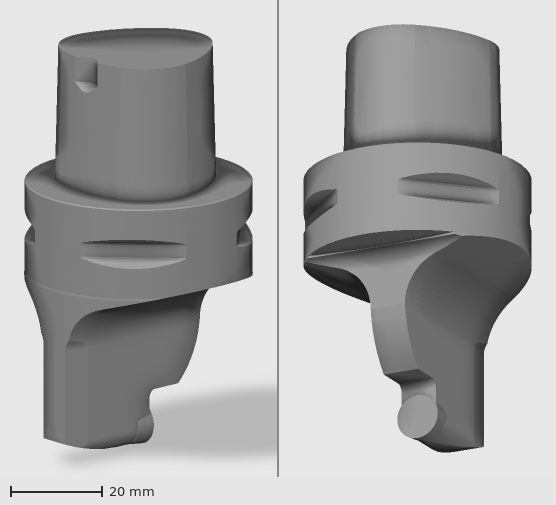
import cadquery as cq
import math


flange_radius = 25.0
flange_rim_height = 20.3
flange_underside_drop = 0.5
flange_flat_radius = 16.7
flange_edge_chamfer = 0.3

shank_height = 30.0
lobe_base_radius = 12.0
lobe_center_distance = 6.75
shank_taper = 1 / 40
flat_half_angle = 20
lobe_directions = (90, 210, 330)

notch_radius = 4.4
notch_axis_y = -17.9
notch_depth = 5.6
notch_tip_height = 3.2

groove_z = -10.2
groove_floor_distance = 22.1
groove_floor_half = 1.4
groove_corner_half = 1.8
groove_corner_depth = 0.2
groove_rim_half = 3.3
groove_directions = (45, 135, 225, 315)

tip_z = -60.0
insert_diameter = 10.0
insert_radius = insert_diameter / 2
insert_back_radius = 4.5
insert_thickness = 4.05
insert_z = tip_z + insert_radius

blade_half_thickness = 4.2
blade_back_radius = 25.1
blade_front_y = 14.2
blade_root_radius = 3.2
blade_curve_top_z = -33.75
blade_step_y = 7.9
blade_step_z = -47.1
blade_front_bulge_y = 12.0
blade_front_bulge_z = -41.5
insert_seat_y = -0.5
seat_corner_radius = 1.6
blade_heel_z = -55.0
blade_round_z = blade_heel_z - 0.3
blade_low_y = -insert_thickness
blade_low_z = -59.5
blade_belly_y = -13.05
blade_belly_z = -58.4

flank_angle = math.radians(16)
flank_radius = 11.1

relief_start_y = -18.7
relief_depth = 0.7
relief_runout_radius = 3.5

clearance = 4.5


def polar_offset(center, distance, angle):
    """Point at a distance from a centre, in a direction given in degrees."""
    a = math.radians(angle)
    return cq.Vector(center.x + distance * math.cos(a), center.y + distance * math.sin(a), center.z)


def lobed_wire(lobe_radius, z):
    """Six tangent arcs: three tight lobes joined by three wide flats."""
    axis = cq.Vector(0, 0, z)
    lobe_half_angle = 60 - flat_half_angle
    center_spacing = lobe_center_distance * math.sin(math.radians(60))
    flat_radius = lobe_radius + center_spacing / math.sin(math.radians(flat_half_angle))
    flat_center_distance = (
        lobe_center_distance * math.cos(math.radians(60))
        - center_spacing / math.tan(math.radians(flat_half_angle))
    )
    arcs = (
        (0, lobe_center_distance, lobe_radius, lobe_half_angle),
        (60, flat_center_distance, flat_radius, flat_half_angle),
    )
    edges = []
    for direction in lobe_directions:
        for turn, center_distance, radius, half_angle in arcs:
            middle = direction + turn
            center = polar_offset(axis, center_distance, middle)
            edges.append(
                cq.Edge.makeThreePointArc(
                    polar_offset(center, radius, middle - half_angle),
                    polar_offset(center, radius, middle),
                    polar_offset(center, radius, middle + half_angle),
                )
            )
    return cq.Wire.assembleEdges(edges)


def make_shank():
    lobe_top_radius = lobe_base_radius - shank_taper * shank_height
    base = lobed_wire(lobe_base_radius, 0)
    top = lobed_wire(lobe_top_radius, shank_height)
    return cq.Workplane(obj=cq.Solid.makeLoft([base, top], True))


def make_notch():
    floor_z = shank_height - notch_depth
    return (
        cq.Workplane("XZ")
        .moveTo(0, floor_z - notch_tip_height)
        .lineTo(notch_radius, floor_z)
        .lineTo(notch_radius, shank_height + clearance)
        .lineTo(0, shank_height + clearance)
        .close()
        .revolve(360, (0, 0), (0, 1))
        .translate((0, notch_axis_y, 0))
    )


def make_flange():
    return (
        cq.Workplane("XZ")
        .lineTo(flange_radius - flange_edge_chamfer, 0)
        .lineTo(flange_radius, -flange_edge_chamfer)
        .lineTo(flange_radius, -flange_rim_height)
        .lineTo(flange_flat_radius, -flange_rim_height - flange_underside_drop)
        .lineTo(0, -flange_rim_height - flange_underside_drop)
        .close()
        .revolve(360, (0, 0), (0, 1))
    )


def make_groove(direction):
    outer = flange_radius + clearance
    corner = groove_floor_distance + groove_corner_depth
    rise = (groove_rim_half - groove_corner_half) / (flange_radius - corner)
    outer_half = groove_rim_half + rise * clearance
    return (
        cq.Workplane("XZ")
        .moveTo(groove_floor_distance, -groove_floor_half)
        .lineTo(corner, -groove_corner_half)
        .lineTo(outer, -outer_half)
        .lineTo(outer, outer_half)
        .lineTo(corner, groove_corner_half)
        .lineTo(groove_floor_distance, groove_floor_half)
        .close()
        .extrude(flange_radius, both=True)
        .translate((0, 0, groove_z))
        .rotate((0, 0, 0), (0, 0, 1), direction)
    )


def make_blade_side_outline():
    """Blade seen along X, reaching up into the flange."""
    root_z = -flange_rim_height - flange_underside_drop
    back_y = -blade_back_radius
    arc_dip = blade_root_radius * (1 - math.sqrt(0.5))
    seat_dip = seat_corner_radius * (1 - math.sqrt(0.5))
    return (
        cq.Workplane("YZ")
        .moveTo(back_y, -flange_rim_height)
        .lineTo(blade_front_y + blade_root_radius, -flange_rim_height)
        .lineTo(blade_front_y + blade_root_radius, root_z)
        .threePointArc(
            (blade_front_y + arc_dip, root_z - arc_dip),
            (blade_front_y, root_z - blade_root_radius),
        )
        .lineTo(blade_front_y, blade_curve_top_z)
        .threePointArc((blade_front_bulge_y, blade_front_bulge_z), (blade_step_y, blade_step_z))
        .lineTo(insert_seat_y + seat_corner_radius, blade_step_z)
        .threePointArc(
            (insert_seat_y + seat_dip, blade_step_z - seat_dip),
            (insert_seat_y, blade_step_z - seat_corner_radius),
        )
        .lineTo(insert_seat_y, blade_low_z)
        .lineTo(blade_low_y, blade_low_z)
        .threePointArc((blade_belly_y, blade_belly_z), (back_y, blade_heel_z))
        .close()
        .extrude(flange_radius, both=True)
    )


def make_back_envelope():
    """Round stock bounding the blade, with a short lead-in cone below the flange rim."""
    lead_in_z = -flange_rim_height - flange_underside_drop
    return (
        cq.Workplane("XZ")
        .moveTo(0, -flange_rim_height)
        .lineTo(flange_radius, -flange_rim_height)
        .lineTo(blade_back_radius, lead_in_z)
        .lineTo(blade_back_radius, tip_z)
        .lineTo(0, tip_z)
        .close()
        .revolve(360, (0, 0), (0, 1))
    )


def make_flank_cut():
    """Material removed on the +X side: slope, concave arc, vertical blade wall and round edge."""
    arc_x = blade_half_thickness + flank_radius
    arc_start = (
        arc_x - flank_radius * math.sin(flank_angle),
        blade_curve_top_z + flank_radius * math.cos(flank_angle),
    )
    mid_angle = (math.pi / 2 + flank_angle + math.pi) / 2
    arc_middle = (
        arc_x + flank_radius * math.cos(mid_angle),
        blade_curve_top_z + flank_radius * math.sin(mid_angle),
    )
    round_middle = blade_half_thickness * math.sqrt(0.5)
    outer = flange_radius + clearance
    slope_end_z = arc_start[1] + (outer - arc_start[0]) * math.tan(flank_angle)
    return (
        cq.Workplane("XZ")
        .moveTo(outer, slope_end_z)
        .lineTo(*arc_start)
        .threePointArc(arc_middle, (blade_half_thickness, blade_curve_top_z))
        .lineTo(blade_half_thickness, blade_round_z)
        .threePointArc(
            (round_middle, blade_round_z - round_middle),
            (0, blade_round_z - blade_half_thickness),
        )
        .lineTo(0, tip_z - clearance)
        .lineTo(outer, tip_z - clearance)
        .close()
        .extrude(outer, both=True)
    )


def make_relief_cut():
    """Slanted relief on the +X back edge, running out upward in a concave arc."""
    length = blade_back_radius + relief_start_y
    angle = math.degrees(math.atan2(relief_depth, length))
    runout_dip = relief_runout_radius * (1 - math.sqrt(0.5))
    runout_rise = relief_runout_radius * math.sqrt(0.5)
    return (
        cq.Workplane("XZ")
        .moveTo(0, tip_z)
        .lineTo(0, blade_curve_top_z)
        .threePointArc(
            (runout_dip, blade_curve_top_z + runout_rise),
            (relief_runout_radius, blade_curve_top_z + relief_runout_radius),
        )
        .lineTo(relief_runout_radius, tip_z)
        .close()
        .extrude(length + clearance)
        .rotate((0, 0, 0), (0, 0, 1), -angle)
        .translate((blade_half_thickness, relief_start_y, 0))
    )


def make_insert():
    """Round insert: flat cutting face at Y = 0, narrowing toward its seat."""
    return cq.Workplane(
        obj=cq.Solid.makeCone(
            insert_radius,
            insert_back_radius,
            insert_thickness,
            cq.Vector(0, 0, insert_z),
            cq.Vector(0, -1, 0),
        )
    )


def make_holder(insert):
    blade = make_blade_side_outline().intersect(make_back_envelope())
    holder = make_flange().union(blade)
    for side_cut in (make_flank_cut(), make_relief_cut()):
        holder = holder.cut(side_cut).cut(side_cut.mirror("YZ"))
    for direction in groove_directions:
        holder = holder.cut(make_groove(direction))
    holder = holder.union(make_shank()).cut(make_notch())
    return holder.cut(insert)


cutting_insert = make_insert()
holder = make_holder(cutting_insert)

result = cq.Compound.makeCompound([*holder.solids().vals(), *cutting_insert.vals()])